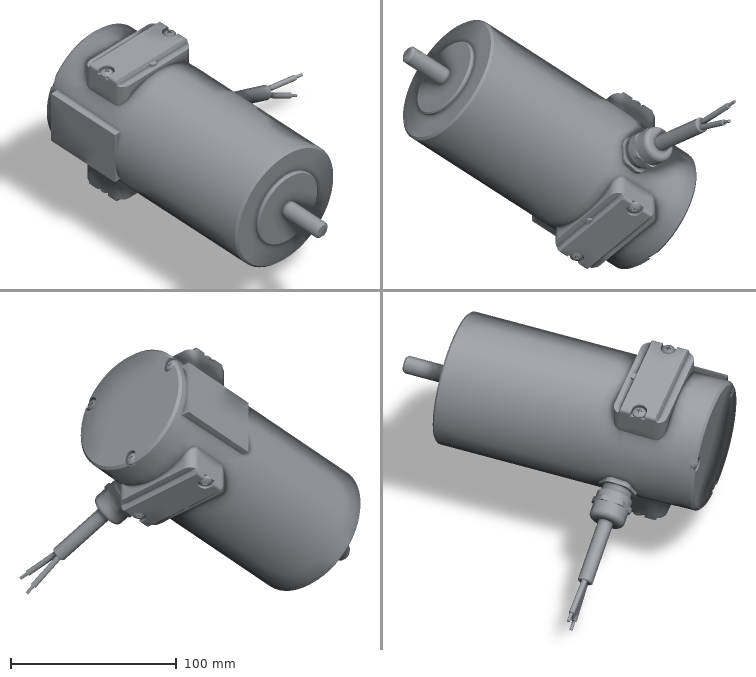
import cadquery as cq
import math


body_radius = 41.5
cap_radius = 40.5
cap_chamfer = 1.5
cap_end = 5.0
housing_end = 61.5
flange_end = 166.5
flange_chamfer = 1.4
pilot_radius = 50.0 / 2
pilot_end = 169.0
pilot_chamfer = 0.8
shaft_radius = 11.0 / 2
shaft_end = 198.5
shaft_chamfer = 1.4

plate_start = 6.4
plate_width = 36.7

box_center_x = 39.1
box_width = 33.7
box_length = 60.0
box_corner = 6.2
box_top = 43.9
lid_width = 25.0
lid_top = 47.0
lid_slope = 1.4
lid_end_rounding = 1.8
key_diameter = 4.2
key_top = 45.5

head_diameter = 8.0
seat_diameter = 9.3
screw_height = lid_top - box_top
head_side_height = 1.5
cross_length = 3.5
cross_width = 1.0
cross_depth = 1.5
lid_screw_y = 26.5
cap_screw_circle = 36.1
cap_screw_angles = (30, 150, 270)

gland_x = 48.5
gland_dip = 20
gland_root = 29.8
nut_start = 39.7
nut_end = 42.9
neck_diameter = 18.5
dome_start = 46.5
dome_diameter = 22.0
dome_lead_in = 1.2
dome_end = 64.7
dome_rounding = 2.8
hex_start = 51.8
hex_end = 55.0
hex_flats = 22.0
hex_turn = -7.5
nut_corner_diameter = 23.8
hex_corner_diameter = 24.6

cable_diameter = 9.3
cable_end = 105.2
cable_chamfer = 0.5
wire_spread = 10
wire_offset = 2.0
wire_root = 2.0
wire_diameter = 3.5
wire_length = 23.8
core_diameter = 2.0
core_length = 6.0


def motor_body():
    """Revolve the cap, tapered housing, tube, flange, pilot and shaft about the X axis."""
    outline = [
        (0, 0),
        (0, cap_radius - cap_chamfer),
        (cap_chamfer, cap_radius),
        (cap_end, cap_radius),
        (housing_end, body_radius),
        (flange_end - flange_chamfer, body_radius),
        (flange_end, body_radius - flange_chamfer),
        (flange_end, pilot_radius),
        (pilot_end - pilot_chamfer, pilot_radius),
        (pilot_end, pilot_radius - pilot_chamfer),
        (pilot_end, shaft_radius),
        (shaft_end - shaft_chamfer, shaft_radius),
        (shaft_end, shaft_radius - shaft_chamfer),
        (shaft_end, 0),
    ]
    return cq.Workplane("XY").polyline(outline).close().revolve(360, (0, 0, 0), (1, 0, 0))


def side_plate():
    """Flat pad from the motor axis out to the -Y side of the housing."""
    length = housing_end - plate_start
    pad = cq.Workplane("XY").box(length, body_radius, plate_width, centered=(False, False, True))
    return pad.translate((plate_start, -body_radius, 0))


def screw_head():
    """Screw head standing on Z = 0 with a domed top and a cross recess."""
    radius = head_diameter / 2
    dome_rise = screw_height - head_side_height
    sphere_radius = (radius**2 + dome_rise**2) / (2 * dome_rise)
    head = cq.Workplane("XY").circle(radius).extrude(screw_height)
    dome = cq.Workplane("XY").sphere(sphere_radius)
    head = head.intersect(dome.translate((0, 0, screw_height - sphere_radius)))
    for size in ((cross_length, cross_width), (cross_width, cross_length)):
        recess = cq.Workplane("XY").workplane(offset=screw_height - cross_depth)
        head = head.cut(recess.rect(*size).extrude(cross_depth))
    return head


def brush_box():
    """Upper brush box with its lid, key and two screws."""
    base = cq.Workplane("XY").rect(box_width, box_length).extrude(box_top)
    base = base.edges("|Z").fillet(box_corner)

    lid_foot = lid_width / 2
    lid_ridge = lid_foot - lid_slope
    lid_section = [(-lid_foot, box_top), (lid_foot, box_top), (lid_ridge, lid_top), (-lid_ridge, lid_top)]
    lid = cq.Workplane("XZ").polyline(lid_section).close().extrude(box_length / 2, both=True)
    lid = lid.faces(">Z").edges("|X").fillet(lid_end_rounding)
    rounded = cq.Workplane("XY").rect(box_width, box_length).extrude(lid_top)
    lid = lid.intersect(rounded.edges("|Z").fillet(box_corner))

    key = cq.Workplane("XY").center(lid_width / 2, 0).circle(key_diameter / 2).extrude(key_top)
    box = base.union(lid).union(key)

    for side in (1, -1):
        seat = cq.Workplane("XY").workplane(offset=box_top)
        seat = seat.circle(seat_diameter / 2).extrude(screw_height)
        run_out = cq.Workplane("XY").box(
            seat_diameter, seat_diameter, screw_height, centered=(True, False, False)
        )
        run_out = run_out.translate((0, 0 if side > 0 else -seat_diameter, box_top))
        box = box.cut(seat.union(run_out).translate((0, side * lid_screw_y, 0)))
        box = box.union(screw_head().translate((0, side * lid_screw_y, box_top)))
    return box.translate((box_center_x, 0, 0))


def cap_screw_place(tool, angle):
    """Turn a part standing on Z = 0 to face -X and move it to its place on the cap."""
    y = cap_screw_circle * math.cos(math.radians(angle))
    z = cap_screw_circle * math.sin(math.radians(angle))
    return tool.rotate((0, 0, 0), (0, 1, 0), -90).translate((screw_height, y, z))


def hex_ring(start, end, corner_diameter):
    """Hexagon collar along Z whose corners are turned down to a given diameter."""
    across_corners = hex_flats / math.cos(math.radians(30))
    collar = cq.Workplane("XY").workplane(offset=start).polygon(6, across_corners).extrude(end - start)
    collar = collar.rotate((0, 0, 0), (0, 0, 1), hex_turn)
    return collar.intersect(cq.Workplane("XY").circle(corner_diameter / 2).extrude(end))


def wire(side):
    """Stripped wire leaving the cable end at an angle to the cable."""
    lead = cq.Workplane("XY").circle(wire_diameter / 2).extrude(wire_root + wire_length)
    lead = lead.faces(">Z").workplane().circle(core_diameter / 2).extrude(core_length)
    lead = lead.translate((0, 0, -wire_root)).rotate((0, 0, 0), (1, 0, 0), -side * wire_spread)
    return lead.translate((0, side * wire_offset, cable_end))


def cable_gland():
    """Gland, cable and wires, built along Z and then laid over towards +Y and -Z."""
    dome_radius = dome_diameter / 2
    gland = cq.Workplane("XY").workplane(offset=gland_root)
    gland = gland.circle(neck_diameter / 2).extrude(dome_start + dome_lead_in - gland_root)
    dome = cq.Workplane("XY").workplane(offset=dome_start).circle(dome_radius).extrude(dome_end - dome_start)
    dome = dome.faces(">Z").edges().fillet(dome_rounding)
    dome = dome.faces("<Z").edges().chamfer(dome_lead_in)
    gland = gland.union(dome)
    gland = gland.union(hex_ring(nut_start, nut_end, nut_corner_diameter))
    gland = gland.union(hex_ring(hex_start, hex_end, hex_corner_diameter))

    cable = cq.Workplane("XY").circle(cable_diameter / 2).extrude(cable_end)
    gland = gland.union(cable.faces(">Z").edges().chamfer(cable_chamfer))
    for side in (1, -1):
        gland = gland.union(wire(side))
    gland = gland.rotate((0, 0, 0), (1, 0, 0), -90 - gland_dip)
    return gland.translate((gland_x, 0, 0))


result = motor_body().union(side_plate())

upper_box = brush_box()
result = result.union(upper_box).union(upper_box.mirror("XY"))

for angle in cap_screw_angles:
    seat = cq.Workplane("XY").circle(seat_diameter / 2).extrude(screw_height)
    result = result.cut(cap_screw_place(seat, angle))
    result = result.union(cap_screw_place(screw_head(), angle))

result = result.union(cable_gland())